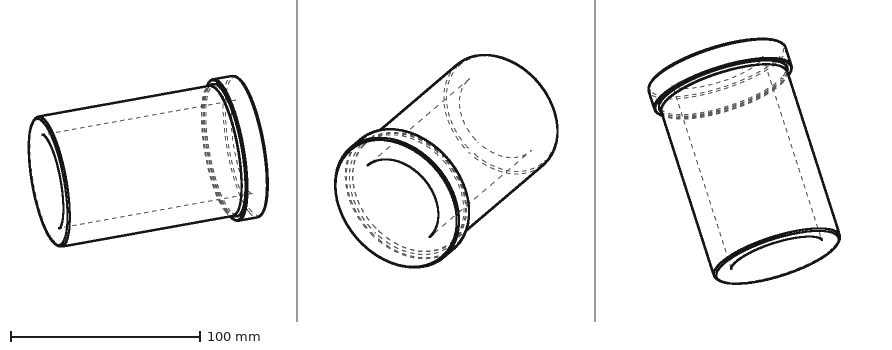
import cadquery as cq

length = 110.0
head_diameter = 76.0
head_length = 12.0
body_diameter = 70.0
bore_diameter = 50.0
bore_rim_radius = 2.0

groove_width = 2.0
groove_depth = 0.4
groove_runout = 0.3
undercut_radius = 0.5

lead_length = 4.0
lead_taper = 0.1
lead_chamfer = 1.0

head_back_chamfer = 0.9
head_front_chamfer = 0.4

head_radius = head_diameter / 2
body_radius = body_diameter / 2
bore_radius = bore_diameter / 2
groove_radius = body_radius - groove_depth
lead_radius = body_radius - lead_taper
free_end = -length / 2
head_back = length / 2
head_front = head_back - head_length
groove_end = head_front - groove_width


def revolved_bushing():
    """Revolve the half section, given as (radius, axial position), about Y."""
    rim_radius = bore_radius + bore_rim_radius
    return (
        cq.Workplane("XY")
        .moveTo(rim_radius, free_end)
        .lineTo(lead_radius - lead_chamfer, free_end)
        .lineTo(lead_radius, free_end + lead_chamfer)
        .lineTo(body_radius, free_end + lead_length)
        .lineTo(body_radius, groove_end)
        .lineTo(groove_radius, groove_end + groove_runout)
        .lineTo(groove_radius, head_front)
        .threePointArc(
            (groove_radius + undercut_radius, head_front + undercut_radius),
            (groove_radius + 2 * undercut_radius, head_front),
        )
        .lineTo(head_radius - head_front_chamfer, head_front)
        .lineTo(head_radius, head_front + head_front_chamfer)
        .lineTo(head_radius, head_back - head_back_chamfer)
        .lineTo(head_radius - head_back_chamfer, head_back)
        .lineTo(rim_radius, head_back)
        .radiusArc((bore_radius, head_back - bore_rim_radius), -bore_rim_radius)
        .lineTo(bore_radius, free_end + bore_rim_radius)
        .radiusArc((rim_radius, free_end), -bore_rim_radius)
        .close()
        .revolve(360, (0, 0, 0), (0, 1, 0))
    )


result = revolved_bushing()